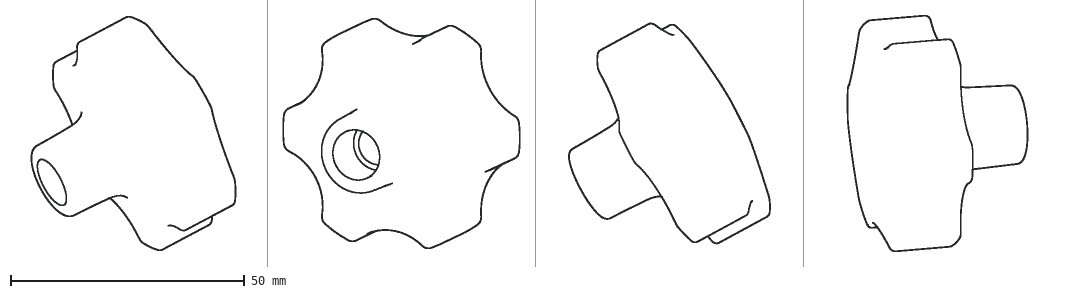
import cadquery as cq
import math


lobe_count = 6
head_radius = 25.0
head_height = 17.0
dome_radius = 99.95
scallop_radius = 12.0
scallop_depth = 5.0
scallop_orbit = head_radius - scallop_depth + scallop_radius
lobe_corner_radius = 2.0
rim_fillet = 1.0

hub_length = 17.0
hub_taper = math.radians(2)
flare_radius = 7.0
flare_outer_radius = 15.8
hub_tip_fillet = 1.0

bore_diameter = 10.95
bore_depth = 11.0
drill_diameter = 8.55
drill_depth = 24.0
drill_tip_angle = math.radians(118)


def revolve_about_y(profile):
    """Turn a closed radius / Y profile a full revolution about the Y axis."""
    return profile.close().revolve(360, (0, 0, 0), (0, 1, 0))


def make_head():
    blank_profile = (
        cq.Workplane("XY")
        .lineTo(head_radius, 0)
        .lineTo(head_radius, head_height - dome_sag(head_radius))
        .threePointArc((head_radius / 2, head_height - dome_sag(head_radius / 2)), (0, head_height))
    )
    head = revolve_about_y(blank_profile)

    cutters = (
        cq.Workplane("XZ")
        .polarArray(scallop_orbit, 180 / lobe_count, 360, lobe_count)
        .circle(scallop_radius)
        .extrude(-head_height)
    )
    head = head.cut(cutters)

    head = head.edges("|Y").edges(LobeCornerSelector()).fillet(lobe_corner_radius)
    return head.faces("<Y or >Y").edges().fillet(rim_fillet)


def dome_sag(radius):
    """Drop of the dome below its crown at a given distance from the axis."""
    return dome_radius - math.sqrt(dome_radius**2 - radius**2)


class LobeCornerSelector(cq.Selector):
    """Pick the edges where scallops meet the outer cylinder."""

    def filter(self, edges):
        angle = lobe_half_angle()
        pitch = 2 * math.pi / lobe_count
        tolerance = math.radians(1)
        wanted = []
        for edge in edges:
            center = edge.Center()
            polar = math.atan2(center.z, center.x) % pitch
            offset = min(polar, pitch - polar)
            if abs(offset - angle) < tolerance:
                wanted.append(edge)
        return wanted


def lobe_half_angle():
    """Angle from the middle of a lobe to its corner, from the two circles' crossing."""
    cosine = (head_radius**2 + scallop_orbit**2 - scallop_radius**2) / (2 * head_radius * scallop_orbit)
    return math.pi / lobe_count - math.acos(cosine)


def make_hub():
    def flare_point(angle):
        return (
            flare_outer_radius - flare_radius * math.cos(angle),
            -flare_radius + flare_radius * math.sin(angle),
        )

    flare_end = flare_point(hub_taper)
    flare_middle = flare_point(math.pi / 4)
    tip_radius = flare_end[0] - (hub_length + flare_end[1]) * math.tan(hub_taper)
    profile = (
        cq.Workplane("XY")
        .moveTo(0, -hub_length)
        .lineTo(tip_radius, -hub_length)
        .lineTo(*flare_end)
        .threePointArc(flare_middle, (flare_outer_radius, 0))
        .lineTo(flare_outer_radius, rim_fillet)
        .lineTo(0, rim_fillet)
    )
    return revolve_about_y(profile).faces("<Y").edges().fillet(hub_tip_fillet)


def make_bore():
    bore_radius = bore_diameter / 2
    drill_radius = drill_diameter / 2
    tip_length = drill_radius / math.tan(drill_tip_angle / 2)
    step = bore_depth - hub_length
    drill_end = drill_depth - hub_length
    profile = (
        cq.Workplane("XY")
        .moveTo(0, -hub_length)
        .lineTo(bore_radius, -hub_length)
        .lineTo(bore_radius, step)
        .lineTo(drill_radius, step)
        .lineTo(drill_radius, drill_end)
        .lineTo(0, drill_end + tip_length)
    )
    return revolve_about_y(profile)


result = make_head().union(make_hub()).cut(make_bore())